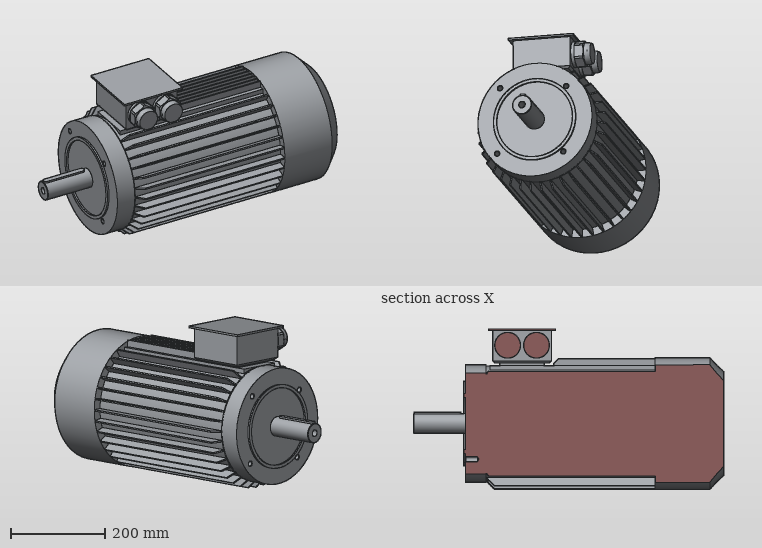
import cadquery as cq
import math


shaft_dia = 42.0
shaft_reach = 110.0
shaft_chamfer = 1.0
center_hole_dia = 13.84
center_hole_depth = 30.0
center_sink_dia = 14.5
key_width = 12.0
key_top = 24.0
key_depth = 8.0
key_length = 100.0
key_tip_gap = 1.0

full_turn = 360.0

drill_point_angle = 118.0

flange_dia = 250.0
flange_thickness = 44.0
spigot_dia = 180.0
spigot_height = 4.0
recess_dia = 166.0
recess_depth = 4.0
mount_hole_dia = 10.11
mount_hole_depth = 25.0
mount_sink_dia = 12.0
mount_circle_dia = 205.0
mount_hole_count = 4
mount_first_angle = 42.5
mount_offset_x = -7.0

outer_dia = 280.0
housing_dia = 245.0
overall_length = 658.0
cover_length = 146.0
cover_taper = 30.0
fin_thickness = 3.0
fin_root_overlap = 3.0
fin_pitch = 10.0
fin_first_angle = -240.0
fin_count = 31

pad_width = 94.0
pad_top = 123.0
pad_start_y = 52.0
top_fin_thickness = 3.0
top_fin_pitch = 12.0
top_fin_count = 7
top_fin_height = 137.5
top_fin_start_y = 187.0
top_fin_chamfer = 10.0

box_center_y = 120.0
box_size = 125.0
box_bottom = 128.0
box_chamfer = 5.0
neck_size = 95.0
lid_size = 142.0
lid_thickness = 4.0
overall_height = 341.0

gland_pitch = 61.2
gland_z = 166.0
collar_dia = 55.0
collar_length = 7.0
nut_sides = 6
nut_flats = 51.0
nut_corner_dia = 56.5
nut_length = 20.0
nut_bevel_length = 2.0
nut_end_dia = 49.0
cap_dia = 47.09
cap_length = 13.5
cap_bevel_length = 6.0
cap_end_dia = 43.5

housing_start = flange_thickness
shaft_tip_y = -shaft_reach
rear_y = shaft_tip_y + overall_length
cover_start = rear_y - cover_length
lid_top = overall_height - outer_dia / 2


def y_cylinder(diameter, start, end):
    """Cylinder on the motor axis from Y = start to Y = end."""
    plane = cq.Workplane("XZ", origin=(0, start, 0))
    return plane.circle(diameter / 2).extrude(start - end)


def drilled_hole(diameter, mouth_y, depth, sink_dia):
    """Blind hole along +Y with a 45 degree countersink and a conical bottom."""
    radius = diameter / 2
    sink_radius = sink_dia / 2
    point_length = radius / math.tan(math.radians(drill_point_angle / 2))
    outline = [
        (0, mouth_y),
        (sink_radius, mouth_y),
        (radius, mouth_y + sink_radius - radius),
        (radius, mouth_y + depth),
        (0, mouth_y + depth + point_length),
    ]
    return cq.Workplane("XY").polyline(outline).close().revolve(full_turn, (0, 0, 0), (0, 1, 0))


def centered_block(width, depth, bottom, top, center_y):
    """Block centred on X = 0 and Y = center_y, between two heights."""
    base = cq.Workplane("XY", origin=(0, center_y, bottom))
    return base.rect(width, depth).extrude(top - bottom)


def make_shaft():
    shaft = y_cylinder(shaft_dia, shaft_tip_y, 0).faces("<Y").chamfer(shaft_chamfer)
    key_center_y = shaft_tip_y + key_tip_gap + key_length / 2
    key = (
        cq.Workplane("XY", origin=(0, key_center_y, key_top - key_depth))
        .slot2D(key_length, key_width, 90)
        .extrude(key_depth)
    )
    hole = drilled_hole(center_hole_dia, shaft_tip_y, center_hole_depth, center_sink_dia)
    return shaft.union(key).cut(hole)


def make_flange():
    flange = y_cylinder(flange_dia, 0, flange_thickness)
    flange = flange.union(y_cylinder(spigot_dia, -spigot_height, 0))
    hole = drilled_hole(mount_hole_dia, 0, mount_hole_depth, mount_sink_dia)
    flange = flange.cut(y_cylinder(recess_dia, -spigot_height, recess_depth - spigot_height))
    for index in range(mount_hole_count):
        angle = math.radians(mount_first_angle + index * full_turn / mount_hole_count)
        x = mount_offset_x + mount_circle_dia / 2 * math.cos(angle)
        z = mount_circle_dia / 2 * math.sin(angle)
        flange = flange.cut(hole.translate((x, 0, z)))
    return flange


def make_cover():
    return y_cylinder(outer_dia, cover_start, rear_y).faces(">Y").chamfer(cover_taper)


def make_fin(angle):
    """Radial fin along the housing, cut back at 45 degrees at its flange end."""
    root = housing_dia / 2 - fin_root_overlap
    slope_start = housing_dia / 2
    tip = outer_dia / 2
    outline = [
        (root, housing_start),
        (slope_start, housing_start),
        (tip, housing_start + tip - slope_start),
        (tip, cover_start),
        (root, cover_start),
    ]
    fin = cq.Workplane("XY").polyline(outline).close().extrude(fin_thickness / 2, both=True)
    return fin.rotate((0, 0, 0), (0, 1, 0), -angle)


def make_housing():
    housing = y_cylinder(housing_dia, housing_start, cover_start)
    for index in range(fin_count):
        housing = housing.union(make_fin(fin_first_angle + index * fin_pitch))
    envelope = y_cylinder(outer_dia, housing_start, cover_start)
    return housing.intersect(envelope)


def make_pad():
    length = cover_start - pad_start_y
    pad = centered_block(pad_width, length, 0, pad_top, pad_start_y + length / 2)
    outline = [
        (top_fin_start_y, 0),
        (top_fin_start_y, top_fin_height - top_fin_chamfer),
        (top_fin_start_y + top_fin_chamfer, top_fin_height),
        (cover_start, top_fin_height),
        (cover_start, 0),
    ]
    fin = cq.Workplane("YZ").polyline(outline).close().extrude(top_fin_thickness / 2, both=True)
    for index in range(top_fin_count):
        x = (index - (top_fin_count - 1) / 2) * top_fin_pitch
        pad = pad.union(fin.translate((x, 0, 0)))
    return pad


def x_beveled_cylinder(diameter, length, bevel_length, end_dia):
    """Cylinder along +X from the origin whose far end tapers to end_dia."""
    outline = [
        (0, 0),
        (0, diameter / 2),
        (length - bevel_length, diameter / 2),
        (length, end_dia / 2),
        (length, 0),
    ]
    return cq.Workplane("XY").polyline(outline).close().revolve(full_turn, (0, 0, 0), (1, 0, 0))


def make_gland():
    """Cable gland along +X, starting at the origin."""
    collar = cq.Workplane("YZ").circle(collar_dia / 2).extrude(collar_length)
    nut = (
        cq.Workplane("YZ")
        .polygon(nut_sides, nut_flats, circumscribed=True)
        .extrude(nut_length)
        .intersect(x_beveled_cylinder(nut_corner_dia, nut_length, nut_bevel_length, nut_end_dia))
        .translate((collar_length, 0, 0))
    )
    cap = x_beveled_cylinder(cap_dia, cap_length, cap_bevel_length, cap_end_dia)
    cap = cap.translate((collar_length + nut_length, 0, 0))
    return collar.union(nut).union(cap)


def make_terminal_box():
    lid_bottom = lid_top - lid_thickness
    neck = centered_block(neck_size, neck_size, pad_top, box_bottom, box_center_y)
    body = centered_block(box_size, box_size, box_bottom, lid_bottom, box_center_y)
    body = body.faces("<Z").chamfer(box_chamfer)
    lid = centered_block(lid_size, lid_size, lid_bottom, lid_top, box_center_y)
    box = neck.union(body).union(lid)
    gland = make_gland()
    for side in (-1, 1):
        gland_y = box_center_y + side * gland_pitch / 2
        box = box.union(gland.translate((box_size / 2, gland_y, gland_z)))
    return box


result = (
    make_flange()
    .union(make_housing())
    .union(make_pad())
    .union(make_cover())
    .union(make_shaft())
    .union(make_terminal_box())
)